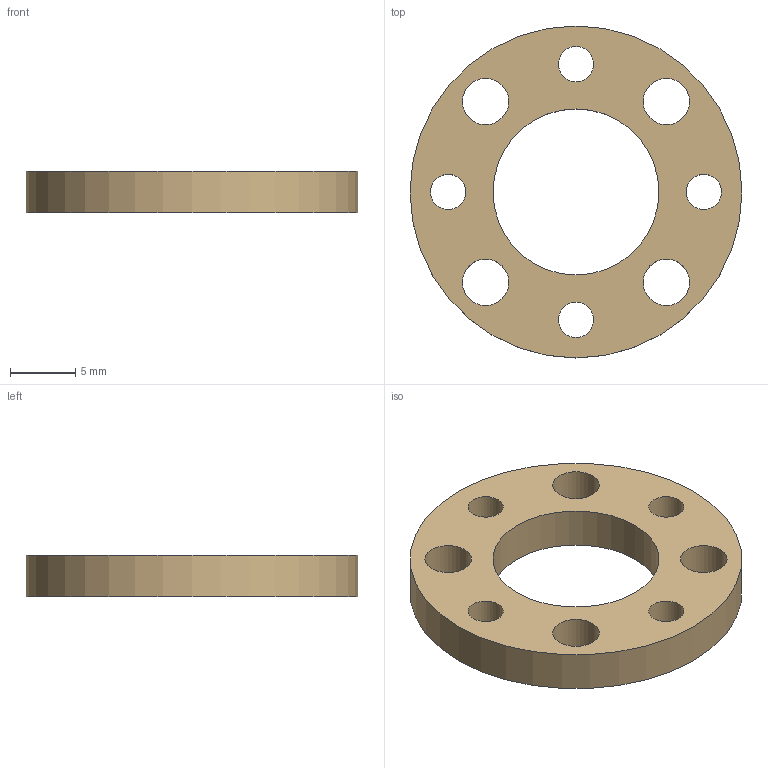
import cadquery as cq

outer_diameter = 25.4
bore_diameter = outer_diameter / 2
thickness = 3.175

bolt_circle_diameter = 19.57
holes_per_set = 4
small_hole_diameter = 2.7
large_hole_diameter = 3.56
small_hole_start_angle = 0
large_hole_start_angle = 45


def make_ring():
    """Ring centred on the Z axis, resting on the XY plane."""
    return (
        cq.Workplane("XY")
        .circle(outer_diameter / 2)
        .circle(bore_diameter / 2)
        .extrude(thickness)
    )


def cut_hole_set(body, hole_diameter, start_angle):
    """Cut one evenly spaced set of through holes on the bolt circle."""
    return (
        body.faces(">Z")
        .workplane(origin=(0, 0, thickness))
        .polarArray(bolt_circle_diameter / 2, start_angle, 360, holes_per_set)
        .hole(hole_diameter)
    )


result = make_ring()
result = cut_hole_set(result, small_hole_diameter, small_hole_start_angle)
result = cut_hole_set(result, large_hole_diameter, large_hole_start_angle)